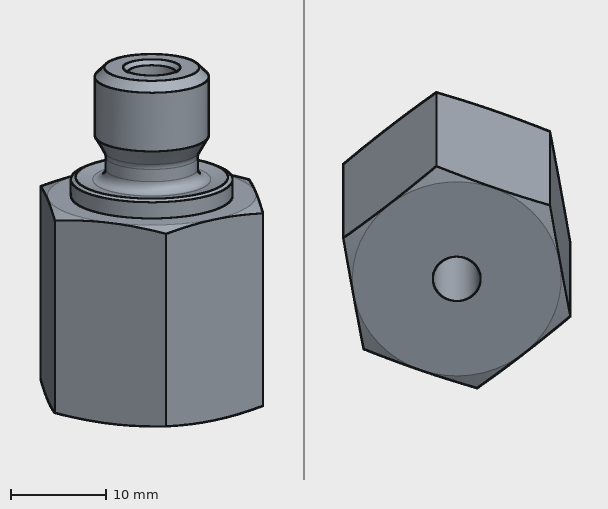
import cadquery as cq
import math

hex_across_flats = 22.0
hex_height = 22.0
hex_corner_radius = hex_across_flats / math.sqrt(3)
hex_face_radius = 10.95
hex_cone_angle = math.radians(15)
corner_drop = (hex_corner_radius - hex_face_radius) * math.tan(hex_cone_angle)

flange_radius = 17.0 / 2
flange_top = 24.0
flange_chamfer_width = 0.5
flange_chamfer_height = 0.25
flange_rim_radius = flange_radius - flange_chamfer_width
dish_outer_radius = 12.4 / 2
dish_angle = math.radians(8)
dish_bottom = flange_top - (flange_rim_radius - dish_outer_radius) * math.tan(dish_angle)

neck_radius = 9.7 / 2
neck_blend_radius = (dish_outer_radius - neck_radius) / (1 + math.sin(dish_angle))
neck_bottom = dish_bottom + neck_blend_radius * math.cos(dish_angle)
cone_angle = math.radians(30)

total_height = 36
stud_radius = 12.0 / 2
stud_bottom = 28.6
stud_chamfer = 1.0
cone_end_radius = neck_radius + neck_blend_radius * (1 - math.cos(cone_angle))
cone_end_height = stud_bottom - (stud_radius - cone_end_radius) / math.tan(cone_angle)
neck_top = cone_end_height - neck_blend_radius * math.sin(cone_angle)

bore_radius = 5.0 / 2
bore_chamfer = 0.5


def blend_point(center_height, angle):
    """Point on a neck blend, at an angle from the neck wall about the blend center."""
    radius = neck_radius + neck_blend_radius * (1 - math.cos(angle))
    return radius, center_height + neck_blend_radius * math.sin(angle)


def make_hex_body():
    prism = (
        cq.Workplane("XY")
        .polygon(6, 2 * hex_corner_radius)
        .extrude(hex_height)
        .rotate((0, 0, 0), (0, 0, 1), 30)
    )
    corner_envelope = (
        cq.Workplane("XZ")
        .lineTo(hex_face_radius, 0)
        .lineTo(hex_corner_radius, corner_drop)
        .lineTo(hex_corner_radius, hex_height - corner_drop)
        .lineTo(hex_face_radius, hex_height)
        .lineTo(0, hex_height)
        .close()
        .revolve(360, (0, 0, 0), (0, 1, 0))
    )
    return prism.intersect(corner_envelope)


def make_turned_end():
    lower_blend_sweep = math.pi / 2 + dish_angle
    return (
        cq.Workplane("XZ")
        .lineTo(flange_radius, 0)
        .lineTo(flange_radius, flange_top - flange_chamfer_height)
        .lineTo(flange_rim_radius, flange_top)
        .lineTo(dish_outer_radius, dish_bottom)
        .threePointArc(
            blend_point(neck_bottom, -lower_blend_sweep / 2),
            (neck_radius, neck_bottom),
        )
        .lineTo(neck_radius, neck_top)
        .threePointArc(
            blend_point(neck_top, cone_angle / 2),
            (cone_end_radius, cone_end_height),
        )
        .lineTo(stud_radius, stud_bottom)
        .lineTo(stud_radius, total_height - stud_chamfer)
        .lineTo(stud_radius - stud_chamfer, total_height)
        .lineTo(0, total_height)
        .close()
        .revolve(360, (0, 0, 0), (0, 1, 0))
    )


def make_bore():
    return (
        cq.Workplane("XZ")
        .lineTo(bore_radius, 0)
        .lineTo(bore_radius, total_height - bore_chamfer)
        .lineTo(bore_radius + bore_chamfer, total_height)
        .lineTo(0, total_height)
        .close()
        .revolve(360, (0, 0, 0), (0, 1, 0))
    )


result = make_hex_body().union(make_turned_end()).cut(make_bore())